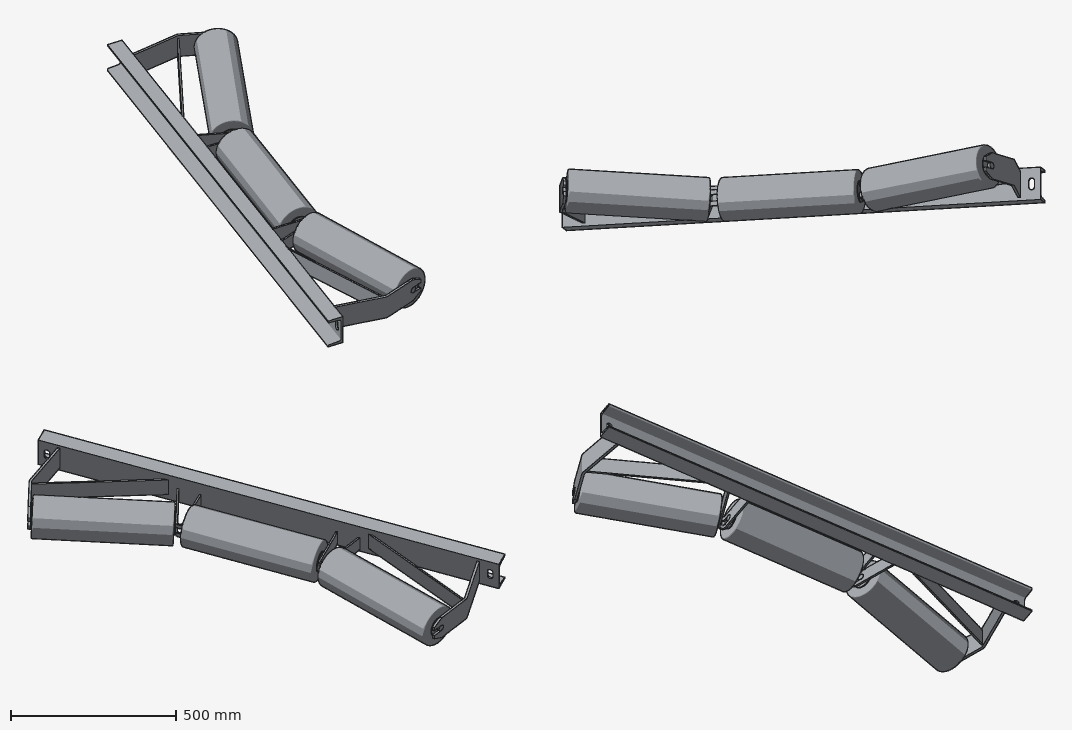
import cadquery as cq
import math


beam_length = 1500.0
beam_depth = 50.0
beam_height = 100.0
web_thickness = 6.0
flange_root_thickness = 10.0
flange_tip_thickness = 8.0
root_radius = 8.0
tip_radius = 5.0
mount_slot_width = 18.0
mount_slot_length = 36.0
mount_slot_inset = 28.0

roller_length = 430.0
roller_diameter = 134.0
rim_radius = 5.0
hub_radius = 33.0
hub_length = 3.0
shaft_radius = 10.0
bracket_gap = 5.0
shaft_drop = 20.0
trough_angle = 20.0
center_y = 166.0
wing_x = 459.0
wing_y = 249.0

outer_width = 81.0
inner_thickness = 5.5
inner_width = 50.0
inner_top_y = 200.0
inner_bend_radius = 12.0
outer_thickness = 8.0
outer_foot_x = 687.0
outer_bend_y = 218.0
outer_tip_y = 357.0
outer_bend_radius = 21.0
tip_width = 45.0
tip_taper_length = 35.0
slot_reach = 22.0

brace_thickness = 5.5
brace_width = 60.0
brace_foot_x = 333.0

trough = math.radians(trough_angle)
axis_x = math.cos(trough)
axis_y = math.sin(trough)
half_roller = roller_length / 2
face_offset = half_roller + bracket_gap
outer_shaft_length = bracket_gap + outer_thickness
inner_shaft_length = bracket_gap + inner_thickness
shaft_span = roller_length + outer_shaft_length + inner_shaft_length
wing_tilt = math.degrees(math.asin(shaft_drop / shaft_span))
wing_z = -shaft_drop * (half_roller + outer_shaft_length) / shaft_span


def strip(points, width):
    """Plate with the given XY outline, centred on Z = 0."""
    return cq.Workplane("XY", origin=(0, 0, -width / 2)).polyline(points).close().extrude(width)


def mirrored_for(side, body):
    """The body itself on the +X side (side = 1), its mirror image on the -X side (side = -1)."""
    return body if side > 0 else body.mirror("YZ")


def place_center(body):
    """Move a body lying along X onto the axis of the center roller."""
    return body.translate((0, center_y, -shaft_drop))


def place_wing(body):
    """Move a body lying along X onto the axis of the +X wing roller."""
    tilted = body.rotate((0, 0, 0), (0, 1, 0), -wing_tilt)
    turned = tilted.rotate((0, 0, 0), (0, 0, 1), trough_angle)
    return turned.translate((wing_x, wing_y, wing_z))


def wing_face_x(offset, y):
    """X at height y of the line square to the wing roller, offset along its axis from its middle."""
    return (wing_x + offset / axis_x) - (y - wing_y) * math.tan(trough)


def make_beam():
    half = beam_height / 2
    profile = [
        (0, half),
        (beam_depth, half),
        (beam_depth, -half),
        (0, -half),
        (0, -half + flange_tip_thickness),
        (beam_depth - web_thickness, -half + flange_root_thickness),
        (beam_depth - web_thickness, half - flange_root_thickness),
        (0, half - flange_tip_thickness),
    ]
    start = cq.Workplane("YZ", origin=(-beam_length / 2, 0, 0))
    beam = start.polyline(profile).close().extrude(beam_length)
    inner_corners = cq.selectors.BoxSelector(
        (-beam_length, beam_depth - 1.5 * web_thickness, -half + flange_tip_thickness),
        (beam_length, beam_depth - web_thickness / 2, half - flange_tip_thickness),
    )
    beam = beam.edges("|X").edges(inner_corners).fillet(root_radius)
    tip_edges = cq.selectors.BoxSelector(
        (-beam_length, -web_thickness, -half + flange_tip_thickness / 2),
        (beam_length, web_thickness, half - flange_tip_thickness / 2),
    )
    beam = beam.edges("|X").edges(tip_edges).fillet(tip_radius)
    slot_x = beam_length / 2 - mount_slot_inset
    slots = (
        cq.Workplane("XZ", origin=(0, beam_depth + web_thickness, 0))
        .pushPoints([(-slot_x, 0), (slot_x, 0)])
        .slot2D(mount_slot_length, mount_slot_width, 90)
        .extrude(3 * web_thickness)
    )
    return beam.cut(slots)


def make_roller(left_shaft, right_shaft):
    """Roller along X with a hub and a shaft stub at each end, centred on the origin."""
    shell = cq.Workplane("YZ", origin=(-half_roller, 0, 0)).circle(roller_diameter / 2).extrude(roller_length)
    shell = shell.faces("<X or >X").edges().fillet(rim_radius)
    hubs = (
        cq.Workplane("YZ", origin=(-half_roller - hub_length, 0, 0))
        .circle(hub_radius)
        .extrude(roller_length + 2 * hub_length)
    )
    shaft = (
        cq.Workplane("YZ", origin=(-half_roller - left_shaft, 0, 0))
        .circle(shaft_radius)
        .extrude(left_shaft + roller_length + right_shaft)
    )
    return shell.union(hubs).union(shaft)


def shaft_slot(end):
    """Cutter for the +Y-open shaft slot beyond one end (1 or -1) of a roller lying along X."""
    open_length = 2 * outer_width
    return (
        cq.Workplane("YZ", origin=(end * half_roller, 0, 0))
        .moveTo(open_length, shaft_radius)
        .lineTo(0, shaft_radius)
        .threePointArc((-shaft_radius, 0), (0, -shaft_radius))
        .lineTo(open_length, -shaft_radius)
        .close()
        .extrude(end * slot_reach)
    )


def inner_hat(inset):
    """Block between the two legs of an inner bracket, shrunk by the inset on every strip face."""
    near_x = face_offset + inset
    top_y = inner_top_y - inset
    wing_offset = -face_offset - inset
    outline = [
        (near_x, beam_depth),
        (near_x, top_y),
        (wing_face_x(wing_offset, top_y), top_y),
        (wing_face_x(wing_offset, beam_depth), beam_depth),
    ]
    top_edges = cq.selectors.BoxSelector(
        (0, top_y - inset - inner_thickness, -inner_width),
        (beam_length, top_y + inner_thickness, inner_width),
    )
    hat = strip(outline, inner_width).edges("|Z").edges(top_edges).fillet(inner_bend_radius - inset)
    return hat.translate((0, 0, -shaft_drop))


def make_inner_bracket():
    """Bent strip on the +X side that holds the center roller and the inner end of the wing roller."""
    bracket = inner_hat(0).cut(inner_hat(inner_thickness))
    return bracket.cut(place_center(shaft_slot(1))).cut(place_wing(shaft_slot(-1)))


outer_face_offset = face_offset + outer_thickness
outer_bend_x = wing_face_x(outer_face_offset, outer_bend_y)
outer_tip_x = wing_face_x(outer_face_offset, outer_tip_y)
leg_lean = math.atan2(outer_bend_x - outer_foot_x, outer_bend_y - beam_depth)
mitre_angle = (trough - leg_lean) / 2
mitre_length = outer_thickness / math.cos((trough + leg_lean) / 2)
inner_bend_x = outer_bend_x - mitre_length * math.cos(mitre_angle)
inner_bend_y = outer_bend_y - mitre_length * math.sin(mitre_angle)


def make_outer_bracket():
    """Bent strip with a tapered tip that holds the outer end of the +X wing roller."""
    outline = [
        (outer_foot_x, beam_depth),
        (outer_bend_x, outer_bend_y),
        (outer_tip_x, outer_tip_y),
        (outer_tip_x - outer_thickness * axis_x, outer_tip_y - outer_thickness * axis_y),
        (inner_bend_x, inner_bend_y),
        (outer_foot_x - outer_thickness / math.cos(leg_lean), beam_depth),
    ]
    bracket = strip(outline, outer_width)
    outer_bend_edge = cq.NearestToPointSelector((outer_bend_x, outer_bend_y, 0))
    bracket = bracket.edges(outer_bend_edge).fillet(outer_bend_radius)
    inner_bend_edge = cq.NearestToPointSelector((inner_bend_x, inner_bend_y, 0))
    bracket = bracket.edges(inner_bend_edge).fillet(outer_bend_radius - outer_thickness)
    taper_start_y = outer_tip_y - tip_taper_length * axis_x
    for z_side in (1, -1):
        corner = [
            (outer_tip_y, z_side * tip_width / 2),
            (taper_start_y, z_side * outer_width / 2),
            (taper_start_y, z_side * outer_width),
            (outer_tip_y, z_side * outer_width),
        ]
        bracket = bracket.cut(cq.Workplane("YZ").polyline(corner).close().extrude(beam_length))
    return bracket.cut(place_wing(shaft_slot(1)))


def make_brace():
    """Flat strip from the beam to the bend of the +X outer bracket."""
    slope = math.atan2(inner_bend_y - beam_depth, inner_bend_x - brace_foot_x)
    foot_half = brace_thickness / 2 / math.sin(slope)
    end_x = inner_bend_x + outer_thickness / 2
    end_y = inner_bend_y + outer_thickness / 2 * math.tan(slope)
    side_x = brace_thickness / 2 * math.sin(slope)
    side_y = brace_thickness / 2 * math.cos(slope)
    outline = [
        (brace_foot_x - foot_half, beam_depth),
        (brace_foot_x + foot_half, beam_depth),
        (end_x + side_x, end_y - side_y),
        (end_x - side_x, end_y + side_y),
    ]
    return strip(outline, brace_width).cut(make_outer_bracket())


beam = make_beam()
center_roller = place_center(make_roller(inner_shaft_length, inner_shaft_length))
bodies = [beam.solids().val(), center_roller.solids().val()]
for side in (-1, 1):
    wing_roller = mirrored_for(side, place_wing(make_roller(inner_shaft_length, outer_shaft_length)))
    inner_bracket = mirrored_for(side, make_inner_bracket())
    outer_bracket = mirrored_for(side, make_outer_bracket())
    brace = mirrored_for(side, make_brace())
    for body in (wing_roller, inner_bracket, outer_bracket, brace):
        bodies.append(body.solids().val())

result = cq.Compound.makeCompound(bodies)